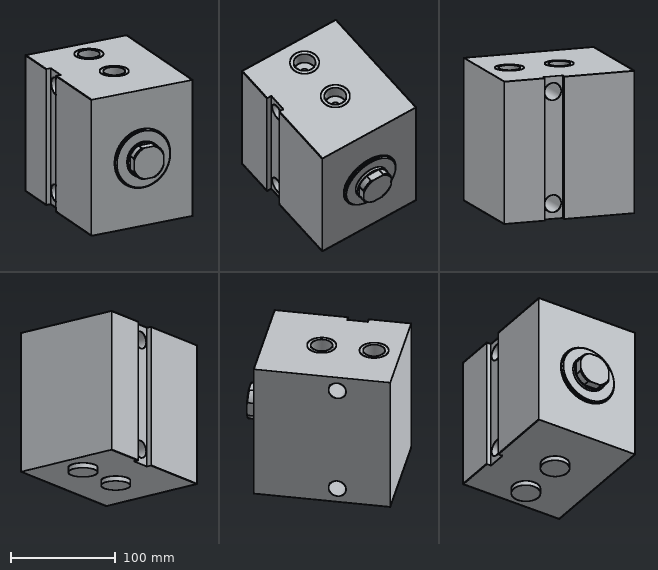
import cadquery as cq

block_length = 133.0
block_depth = 110.0
block_height = 140.0
front_edge_chamfer = 0.3

slot_width = 20.0
slot_depth = 5.0
slot_center_x = 51.5
clamp_hole_diameter = 17.0
clamp_hole_edge_distance = 15.0

port_positions_x = (26.0, 77.0)
port_diameter = 21.0
port_depth = 13.0
feed_diameter = 6.0
spotface_diameter = 28.0
spotface_depth = 0.1
plug_height = 5.0

gland_diameter = 60.0
gland_thickness = 3.0
gland_chamfer = 1.2

rod_diameter = 36.0
rod_tail_x = 12.0
collar_projection = 6.0
rod_shoulder_x = block_length + collar_projection
nose_diameter = 35.0
nose_length = 8.0
nose_chamfer = 0.8
nose_across_flats = 32.0

half_height = block_height / 2


def disc_along_x(diameter, start_x, length):
    """Cylinder around the X axis."""
    upper_half_section = (
        cq.Workplane("XZ").moveTo(start_x, 0).rect(length, diameter / 2, centered=False)
    )
    return upper_half_section.revolve(360, (0, 0, 0), (1, 0, 0))


def disc_along_z(diameter, x, bottom_z, height):
    """Vertical cylinder on the middle plane of the block."""
    return cq.Workplane("XY", origin=(x, 0, bottom_z)).circle(diameter / 2).extrude(height)


def make_housing():
    block = cq.Workplane("XY").box(block_length, block_depth, block_height)
    block = block.translate((block_length / 2, 0, 0))
    block = block.faces("<Y").edges("|X").chamfer(front_edge_chamfer)

    slot = cq.Workplane("XY").box(slot_width, slot_depth, block_height)
    block = block.cut(slot.translate((slot_center_x, (slot_depth - block_depth) / 2, 0)))

    for side in (-1, 1):
        hole_z = side * (half_height - clamp_hole_edge_distance)
        hole = (
            cq.Workplane("XZ", origin=(slot_center_x, 0, hole_z))
            .circle(clamp_hole_diameter / 2)
            .extrude(block_depth / 2, both=True)
        )
        block = block.cut(hole)

    for x in port_positions_x:
        block = block.cut(disc_along_z(spotface_diameter, x, half_height - spotface_depth, spotface_depth))
        block = block.cut(disc_along_z(port_diameter, x, half_height - port_depth, port_depth))
        block = block.cut(disc_along_z(feed_diameter, x, 0, half_height))
        block = block.cut(disc_along_z(spotface_diameter, x, -half_height, spotface_depth))

    return block.cut(disc_along_x(rod_diameter, rod_tail_x, block_length - rod_tail_x))


def make_gland():
    ring = disc_along_x(gland_diameter, block_length, gland_thickness)
    ring = ring.faces(">X").chamfer(gland_chamfer)
    return ring.cut(disc_along_x(rod_diameter, block_length, gland_thickness))


def make_rod():
    nose = disc_along_x(nose_diameter, rod_shoulder_x, nose_length).faces(">X").chamfer(nose_chamfer)
    flats = cq.Workplane("XY").box(nose_length, nose_across_flats, nose_across_flats)
    nose = nose.intersect(flats.translate((rod_shoulder_x + nose_length / 2, 0, 0)))
    return disc_along_x(rod_diameter, rod_tail_x, rod_shoulder_x - rod_tail_x).union(nose)


def make_plug(x):
    """Plug head seated in its spotface on the bottom of the housing."""
    seat_z = spotface_depth - half_height
    return disc_along_z(spotface_diameter, x, seat_z - plug_height, plug_height)


housing = make_housing()
gland = make_gland()
rod = make_rod()
plugs = [make_plug(x) for x in port_positions_x]

result = cq.Compound.makeCompound(
    [housing.val(), gland.val(), rod.val(), *[plug.val() for plug in plugs]]
)